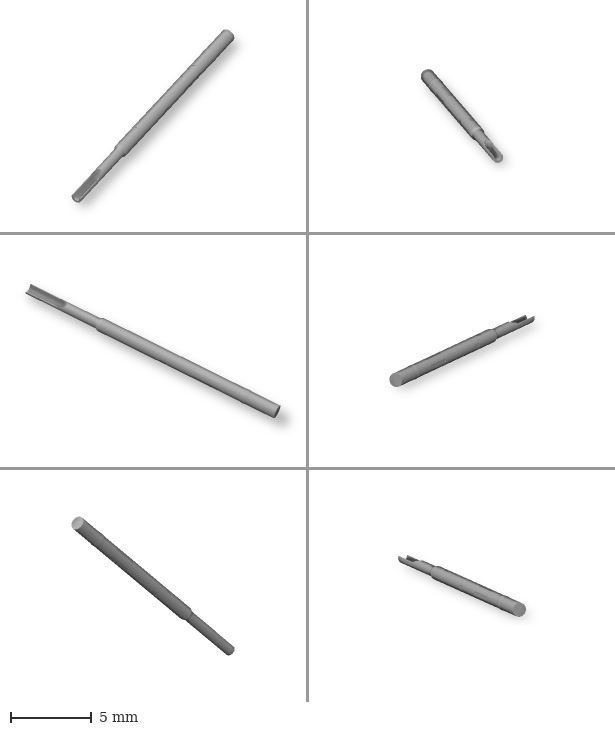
import cadquery as cq

LENGTH = 17.5
BODY_RADIUS = 0.44
NECK_RADIUS = 0.34
COLLAR_RADIUS = 0.468

REAR_Y = LENGTH / 2
TIP_Y = -LENGTH / 2
COLLAR_REAR_Y = REAR_Y - 1.96
COLLAR_FRONT_Y = REAR_Y - 2.48
SHOULDER_Y = REAR_Y - 12.36
NECK_Y = REAR_Y - 12.68

SLOT_COUNT = 4
SLOT_ANGLE_STEP = 360 / SLOT_COUNT
SLOT_WIDTH = 0.28
SLOT_FLOOR_RADIUS = 0.41
LONG_SLOT_LENGTH = 1.97
LONG_SLOT_Y = REAR_Y - 4.79
SHORT_SLOT_LENGTH = 0.58
SHORT_SLOT_FIRST_Y = REAR_Y - 7.79
SHORT_SLOT_PITCH = 1.0

CUP_LENGTH = 1.97
CUP_TOP_Z = 0.13
CUP_FLOOR_Z = -0.2
CUP_WALL_FOOT_Z = -0.09
CUP_FOOT_HALF_WIDTH = 0.19
CUP_RIM_HALF_WIDTH = 0.27
CUP_RUN_OUT_RADIUS = 0.75
RUN_OUT_PIVOT_Z = CUP_FLOOR_Z + CUP_RUN_OUT_RADIUS

QUARTER_TURN = 90


def turned_body():
    """Body with a rounded collar and an S-shaped shoulder down to the neck."""
    collar_mid_y = (COLLAR_REAR_Y + COLLAR_FRONT_Y) / 2
    shoulder_mid = ((BODY_RADIUS + NECK_RADIUS) / 2, (SHOULDER_Y + NECK_Y) / 2)
    return (
        cq.Workplane("XY")
        .moveTo(0, REAR_Y)
        .lineTo(BODY_RADIUS, REAR_Y)
        .lineTo(BODY_RADIUS, COLLAR_REAR_Y)
        .threePointArc((COLLAR_RADIUS, collar_mid_y), (BODY_RADIUS, COLLAR_FRONT_Y))
        .lineTo(BODY_RADIUS, SHOULDER_Y)
        .tangentArcPoint(shoulder_mid, relative=False)
        .tangentArcPoint((NECK_RADIUS, NECK_Y), relative=False)
        .lineTo(NECK_RADIUS, TIP_Y)
        .lineTo(0, TIP_Y)
        .close()
        .revolve(360, (0, 0, 0), (0, 1, 0))
    )


def slot_cutter(length, y, angle):
    """Round-ended slot along the axis on the +Z side, turned about Y by angle."""
    return (
        cq.Workplane("XY", origin=(0, y, SLOT_FLOOR_RADIUS))
        .slot2D(length, SLOT_WIDTH, QUARTER_TURN)
        .extrude(BODY_RADIUS)
        .rotate((0, 0, 0), (0, 1, 0), angle)
    )


def cut_slots(body):
    """Long slots share one place along the axis; short slots step forward in a spiral."""
    for index in range(SLOT_COUNT):
        long_angle = index * SLOT_ANGLE_STEP
        body = body.cut(slot_cutter(LONG_SLOT_LENGTH, LONG_SLOT_Y, long_angle))
        short_angle = long_angle + SLOT_ANGLE_STEP
        short_y = SHORT_SLOT_FIRST_Y - index * SHORT_SLOT_PITCH
        body = body.cut(slot_cutter(SHORT_SLOT_LENGTH, short_y, short_angle))
    return body


def cup_profile():
    """Cup cross-section at its inner end: rounded floor, flared walls and all above their tops."""
    return (
        cq.Workplane("XZ", origin=(0, TIP_Y + CUP_LENGTH, 0))
        .moveTo(-CUP_FOOT_HALF_WIDTH, CUP_WALL_FOOT_Z)
        .threePointArc((0, CUP_FLOOR_Z), (CUP_FOOT_HALF_WIDTH, CUP_WALL_FOOT_Z))
        .lineTo(CUP_RIM_HALF_WIDTH, CUP_TOP_Z)
        .lineTo(BODY_RADIUS, CUP_TOP_Z)
        .lineTo(BODY_RADIUS, RUN_OUT_PIVOT_Z)
        .lineTo(-BODY_RADIUS, RUN_OUT_PIVOT_Z)
        .lineTo(-BODY_RADIUS, CUP_TOP_Z)
        .lineTo(-CUP_RIM_HALF_WIDTH, CUP_TOP_Z)
        .close()
    )


def cup_cutter():
    """Straight cup from the tip, then a quarter turn that curves up and out of the neck."""
    straight = cup_profile().extrude(CUP_LENGTH)
    pivot_start = (-BODY_RADIUS, RUN_OUT_PIVOT_Z, 0)
    pivot_end = (BODY_RADIUS, RUN_OUT_PIVOT_Z, 0)
    run_out = cup_profile().revolve(QUARTER_TURN, pivot_start, pivot_end)
    return straight.union(run_out)


result = cut_slots(turned_body()).cut(cup_cutter())